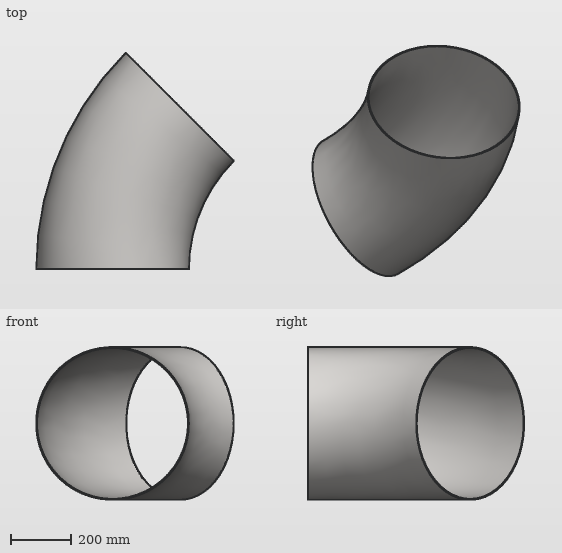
import cadquery as cq

outer_diameter = 508.0
wall = 4.0
bend_radius = 1.5 * outer_diameter
bend_angle = 45.0

outer_radius = outer_diameter / 2
bore_radius = outer_radius - wall

axis_start = (bend_radius, 0)
axis_end = (bend_radius, -1)


def make_elbow():
    """Revolve the ring section of the pipe around the bend axis.

    The inlet is centred on the origin and opens toward -Y.
    """
    section = cq.Workplane("XZ").circle(outer_radius).circle(bore_radius)
    return section.revolve(bend_angle, axis_start, axis_end)


result = make_elbow()